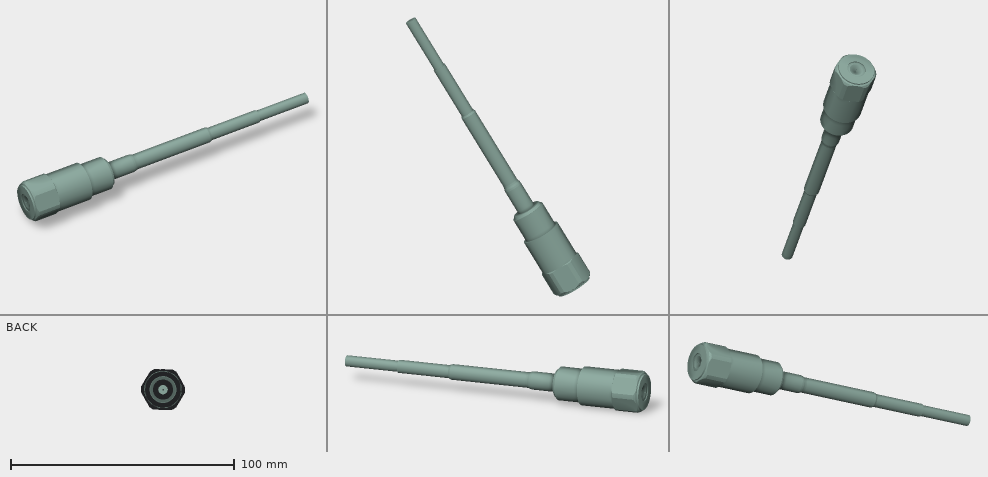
import cadquery as cq
import math

OVERALL_LENGTH = 143.37
PIN_PROTRUSION = 0.4
REAR_END = OVERALL_LENGTH - PIN_PROTRUSION

CABLE_DIA = 5.02
CABLE_LENGTH = 25.1
SLEEVE_DIA = 5.91
SLEEVE_LENGTH = 25.5
BOOT_DIA = 7.05
BOOT_LENGTH = 36.4
STEM_DIA = 8.2
STEM_LENGTH = 14.2
SLEEVE_REAR = REAR_END - CABLE_LENGTH
BOOT_REAR = SLEEVE_REAR - SLEEVE_LENGTH
BLEND_REAR = BOOT_REAR - BOOT_LENGTH
COLLAR_REAR = BLEND_REAR - STEM_LENGTH

BOOT_CHAMFER_LENGTH = 0.9
BOOT_CHAMFER_DEPTH = 0.35

BLEND_CONE_LENGTH = 0.87
BLEND_RISE = (STEM_DIA - BOOT_DIA) / 2
SHALLOW_CONE_RISE = BLEND_RISE / 4

COLLAR_REAR_DIA = 12.8
COLLAR_FRONT_DIA = 14.2
COLLAR_LENGTH = 1.27
NECK_DIA = 15.24
NECK_LENGTH = 11.3
BARREL_DIA = 17.6
BARREL_LENGTH = 16.5
NECK_REAR = COLLAR_REAR - COLLAR_LENGTH
BARREL_REAR = NECK_REAR - NECK_LENGTH
HEX_REAR = BARREL_REAR - BARREL_LENGTH

HEX_ACROSS_FLATS = 17.46
HEX_TURNED_DIA = 19.05
HEX_TILT = 1.1
HEX_REAR_CHAMFER_ANGLE = 30.0
HEX_CHAMFER_FRONT_DIA = 17.74
HEX_CHAMFER_LENGTH = 0.9

NOSE_DIA = 16.2
NOSE_LENGTH = 0.75
NOSE_CONE_LENGTH = 0.25
HEX_FRONT = NOSE_LENGTH + NOSE_CONE_LENGTH

RECESS_DIA = 8.3
RECESS_DEPTH = 0.5
CONE_DIA = 5.91
CONE_DEPTH = 1.8
CONE_TIP = RECESS_DEPTH + CONE_DEPTH

PIN_DIA = 0.13


def revolve_about_y(profile):
    return profile.close().revolve(360, (0, 0, 0), (0, 1, 0))


def cable_with_stem():
    boot_radius = BOOT_DIA / 2
    stem_radius = STEM_DIA / 2
    return revolve_about_y(
        cq.Workplane("XY")
        .moveTo(0, REAR_END)
        .lineTo(CABLE_DIA / 2, REAR_END)
        .lineTo(CABLE_DIA / 2, SLEEVE_REAR)
        .lineTo(SLEEVE_DIA / 2, SLEEVE_REAR)
        .lineTo(SLEEVE_DIA / 2, BOOT_REAR + BOOT_CHAMFER_LENGTH)
        .lineTo(boot_radius - BOOT_CHAMFER_DEPTH, BOOT_REAR + BOOT_CHAMFER_LENGTH)
        .lineTo(boot_radius, BOOT_REAR)
        .lineTo(boot_radius, BLEND_REAR)
        .lineTo(boot_radius + SHALLOW_CONE_RISE, BLEND_REAR - BLEND_CONE_LENGTH)
        .lineTo(stem_radius - SHALLOW_CONE_RISE, BLEND_REAR - 2 * BLEND_CONE_LENGTH)
        .lineTo(stem_radius, BLEND_REAR - 3 * BLEND_CONE_LENGTH)
        .lineTo(stem_radius, COLLAR_REAR)
        .lineTo(0, COLLAR_REAR)
    )


def turned_shell():
    return revolve_about_y(
        cq.Workplane("XY")
        .moveTo(0, COLLAR_REAR)
        .lineTo(COLLAR_REAR_DIA / 2, COLLAR_REAR)
        .lineTo(COLLAR_FRONT_DIA / 2, NECK_REAR)
        .lineTo(NECK_DIA / 2, NECK_REAR)
        .lineTo(NECK_DIA / 2, BARREL_REAR)
        .lineTo(BARREL_DIA / 2, BARREL_REAR)
        .lineTo(BARREL_DIA / 2, HEX_REAR)
        .lineTo(NOSE_DIA / 2, HEX_REAR)
        .lineTo(NOSE_DIA / 2, 0)
        .lineTo(0, 0)
    )


def wrench_hexagon():
    barrel_radius = BARREL_DIA / 2
    corner_radius = HEX_TURNED_DIA / 2
    rear_chamfer_length = (corner_radius - barrel_radius) * math.tan(math.radians(HEX_REAR_CHAMFER_ANGLE))
    across_corners = HEX_ACROSS_FLATS / math.cos(math.pi / 6)
    prism = (
        cq.Workplane("XZ", origin=(0, HEX_REAR, 0))
        .polygon(6, across_corners)
        .extrude(HEX_REAR - NOSE_LENGTH)
        .rotate((0, 0, 0), (0, -1, 0), HEX_TILT)
    )
    turned_envelope = revolve_about_y(
        cq.Workplane("XY")
        .moveTo(0, HEX_REAR)
        .lineTo(barrel_radius, HEX_REAR)
        .lineTo(corner_radius, HEX_REAR - rear_chamfer_length)
        .lineTo(corner_radius, HEX_FRONT + HEX_CHAMFER_LENGTH)
        .lineTo(HEX_CHAMFER_FRONT_DIA / 2, HEX_FRONT)
        .lineTo(NOSE_DIA / 2, NOSE_LENGTH)
        .lineTo(0, NOSE_LENGTH)
    )
    return prism.intersect(turned_envelope)


def front_recess():
    return revolve_about_y(
        cq.Workplane("XY")
        .moveTo(0, 0)
        .lineTo(RECESS_DIA / 2, 0)
        .lineTo(RECESS_DIA / 2, RECESS_DEPTH)
        .lineTo(CONE_DIA / 2, RECESS_DEPTH)
        .lineTo(0, CONE_TIP)
    )


def front_pin():
    return (
        cq.Workplane("XZ", origin=(0, CONE_TIP, 0))
        .circle(PIN_DIA / 2)
        .extrude(CONE_TIP + PIN_PROTRUSION)
    )


pin = front_pin()
housing = (
    turned_shell()
    .union(wrench_hexagon())
    .union(cable_with_stem())
    .cut(front_recess())
    .cut(pin)
)

result = cq.Compound.makeCompound([housing.val(), pin.val()])